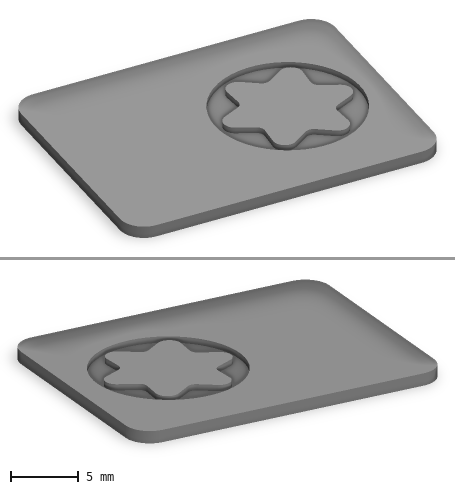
import cadquery as cq
import math

plate_width = 20.0
plate_length = 26
plate_thickness = 1.0
corner_radius = 2.0

pocket_diameter = 12.0
pocket_depth = 0.5
pocket_offset_y = 5.0

lobe_count = 6
star_tip_radius = 5.3
star_valley_radius = 3.55
lobe_round = 0.94
valley_round = 0.68


def polar(radius, angle):
    """Point at a distance from the star centre, in the direction of an angle in radians."""
    return (radius * math.cos(angle), radius * math.sin(angle))


def flank_ends():
    """Polar ends (radius, angle from the lobe axis) of the flank tangent to a lobe and its valley."""
    half_pitch = math.pi / lobe_count
    lobe_x = star_tip_radius - lobe_round
    valley_x, valley_y = polar(star_valley_radius + valley_round, half_pitch)
    gap = math.hypot(valley_x - lobe_x, valley_y)
    centre_line = math.atan2(valley_y, valley_x - lobe_x)
    normal = centre_line - math.acos((lobe_round + valley_round) / gap)
    normal_x, normal_y = polar(1, normal)
    lobe_end = (lobe_x + lobe_round * normal_x, lobe_round * normal_y)
    valley_end = (valley_x - valley_round * normal_x, valley_y - valley_round * normal_y)
    return [(math.hypot(x, y), math.atan2(y, x)) for x, y in (lobe_end, valley_end)]


def star(height):
    """Solid six-lobed star with one lobe pointing along +Y."""
    pitch = 2 * math.pi / lobe_count
    (lobe_r, lobe_angle), (valley_r, valley_angle) = flank_ends()
    first_axis = math.pi / 2
    outline = cq.Workplane("XY").moveTo(*polar(lobe_r, first_axis - lobe_angle))
    for lobe in range(lobe_count):
        axis = first_axis + lobe * pitch
        next_axis = axis + pitch
        outline = (
            outline.threePointArc(polar(star_tip_radius, axis), polar(lobe_r, axis + lobe_angle))
            .lineTo(*polar(valley_r, axis + valley_angle))
            .threePointArc(
                polar(star_valley_radius, axis + pitch / 2),
                polar(valley_r, next_axis - valley_angle),
            )
        )
        if lobe < lobe_count - 1:
            outline = outline.lineTo(*polar(lobe_r, next_axis - lobe_angle))
    return outline.close().extrude(height)


plate = (
    cq.Workplane("XY")
    .box(plate_width, plate_length, plate_thickness, centered=(True, True, False))
    .edges("|Z")
    .fillet(corner_radius)
)

pocket = cq.Workplane("XY").circle(pocket_diameter / 2).extrude(pocket_depth).cut(star(pocket_depth))
result = plate.cut(pocket.translate((0, pocket_offset_y, plate_thickness - pocket_depth)))